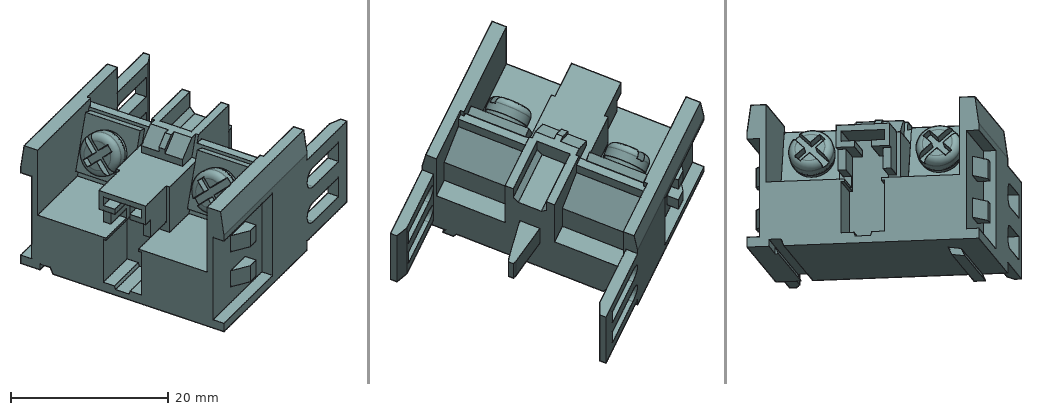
import cadquery as cq
import math

WIDTH = 30.0
DEPTH = 21.0
HEIGHT = 18.5
FLOOR_Z = 8.4
HALF_WIDTH = WIDTH / 2

WALL_INNER_X = 12.5
REAR_WALL_INNER_X = 13.0
WALL_STEP_Y = 13.4
WALL_TAPER = 0.5
WALL_TAPER_Z = 15.0

RECESS_X = 13.4
RECESS_DEPTH_Y = 12.3
RECESS_Z = (1.3, 14.1)
CATCH_Y = (4.4, 6.65, 8.1)
CATCH_HEIGHT = 2.5
SLOT_CENTERS_Z = (5.0, 10.45)

TAB_LENGTH = 10.0
TAB_Z = (1.4, 14.0)
TAB_TIP_THICKNESS = 0.9
TAB_BEVEL_LENGTH = 1.6
SLOT_HEIGHT = 3.0
SLOT_LENGTH = 7.95

LEAN = math.radians(18)
LEAN_FOOT_Y = 10.05
LEAN_TOP_Z = 17.4
LEAN_TOP_REAR_Y = 14.1
SLOPE_END_Y = 18.55
SLOPE_TOP_Z = 15.35
SLOPE_END_Z = 13.3

TOWER_HALF_WIDTH = 3.45
TROUGH_HALF_WIDTH = 2.3
TROUGH_FLOOR_HALF_WIDTH = 1.6
TROUGH_FRONT_Y = 13.5
TROUGH_BEND_Z = 16.15
TROUGH_FLOOR_Z = 15.35

CLIP_HALF_WIDTH = 3.05
CLIP_FRONT_Y = 10.0
CLIP_EDGE_Z = 16.5
CLIP_TOP_Y = 12.33
CLIP_RIB_HALF_WIDTH = 0.45
CLIP_RIB_EDGE_Z = 17.15
CLIP_RIB_TOP_Y = 11.55

BLOCK_TOP_Z = 15.45
BLOCK_HALF_WIDTH = 3.95
BLOCK_FRONT_Y = 5.2
NOSE_BOTTOM_Z = 9.85
NOSE_LIP_Z = 12.55
NOSE_LIP_LENGTH = 1.2
SLOT_END_Y = 6.0
KEY_HALF_WIDTH = 2.8
KEY_NECK_HALF_WIDTH = 1.1
KEY_Z = (13.35, 14.65)
THROAT_HALF_WIDTH = 2.4
THROAT_BOTTOM_Z = 8.05
CHANNEL_FLOOR_Z = 1.4
GROOVE_FLOOR_Z = 0.9
GROOVE_HALF_WIDTHS = (1.0, 1.15)

SPIKE_LENGTH = 6.0
SPIKE_Z = (6.5, 10.5)
SPIKE_ROOT_HALF_WIDTH = 1.4
SPIKE_TIP_HALF_WIDTH = 0.5
SPIKE_TIP_BEVEL = (0.15, 0.4)

FOOT_X = (10.22, 11.73)
FOOT_HEIGHT = 0.9
FOOT_SLANT = 0.42
FOOT_FRONT_Y = 4.55
FOOT_SKEW = math.radians(35)

TERMINAL_X = 8.24
PLATE_SIZE = 8.05
PLATE_THICKNESS = 1.2
PLATE_LIFT = 1.0
SCREW_BASE_RADIUS = 2.75
SCREW_RADIUS = 2.9
SCREW_FLAT_RADIUS = 1.93
SCREW_BASE_HEIGHT = 0.7
SCREW_RIM_HEIGHT = 1.85
SCREW_HEIGHT = SCREW_RIM_HEIGHT + SCREW_RADIUS - SCREW_FLAT_RADIUS
CROSS_WIDTH = 1.05
CROSS_DEPTH = 1.15
CROSS_SHORT_LENGTH = 4.3


def box(x, y, z):
    """Box between two limits on each axis."""
    size = (x[1] - x[0], y[1] - y[0], z[1] - z[0])
    return cq.Workplane("XY").box(*size, centered=False).translate((x[0], y[0], z[0]))


def prism_along_x(points_yz, x):
    """Polygon in Y and Z, extruded between two X limits."""
    return cq.Workplane("YZ").workplane(offset=x[0]).polyline(points_yz).close().extrude(x[1] - x[0])


def prism_along_y(points_xz, y):
    """Polygon in X and Z, extruded between two Y limits."""
    return cq.Workplane("XZ").workplane(offset=-y[0]).polyline(points_xz).close().extrude(y[0] - y[1])


def prism_along_z(points_xy, z):
    """Polygon in X and Y, extruded between two Z limits."""
    return cq.Workplane("XY").workplane(offset=z[0]).polyline(points_xy).close().extrude(z[1] - z[0])


def both_ways(half):
    """Limits that are symmetric about zero."""
    return (-half, half)


def mirrored(shape):
    """The shape together with its mirror image across x = 0."""
    return shape.union(shape.mirror("YZ"))


def around(center, size):
    """Limits of the given size about a centre."""
    return (center - size / 2, center + size / 2)


def lean_y(z):
    """Y of the leaning wall's front face at height z."""
    return LEAN_FOOT_Y + (z - FLOOR_Z) * math.tan(LEAN)


def make_side_wall():
    wall = prism_along_y(
        [
            (WALL_INNER_X, 0),
            (HALF_WIDTH, 0),
            (HALF_WIDTH, WALL_TAPER_Z),
            (HALF_WIDTH - WALL_TAPER, HEIGHT),
            (WALL_INNER_X, HEIGHT),
        ],
        (0, DEPTH),
    )
    thinning = box((WALL_INNER_X, REAR_WALL_INNER_X), (WALL_STEP_Y, DEPTH), (FLOOR_Z, HEIGHT))
    recess = box((RECESS_X, HALF_WIDTH), (0, RECESS_DEPTH_Y), RECESS_Z)
    return wall.cut(thinning).cut(recess)


def make_catch(center_z):
    ramp_foot_y, ramp_top_y, rear_y = CATCH_Y
    outline = [
        (WALL_INNER_X, ramp_foot_y),
        (RECESS_X, ramp_foot_y),
        (HALF_WIDTH, ramp_top_y),
        (HALF_WIDTH, rear_y),
        (WALL_INNER_X, rear_y),
    ]
    return prism_along_z(outline, around(center_z, CATCH_HEIGHT))


def make_tab():
    end_y = DEPTH + TAB_LENGTH
    tab = prism_along_z(
        [
            (RECESS_X, DEPTH),
            (HALF_WIDTH, DEPTH),
            (HALF_WIDTH, end_y),
            (HALF_WIDTH - TAB_TIP_THICKNESS, end_y),
            (RECESS_X, end_y - TAB_BEVEL_LENGTH),
        ],
        TAB_Z,
    )
    radius = SLOT_HEIGHT / 2
    slot_end_y = DEPTH + SLOT_LENGTH
    for center_z in SLOT_CENTERS_Z:
        slot = (
            cq.Workplane("YZ")
            .moveTo(slot_end_y, center_z - radius)
            .lineTo(DEPTH + radius, center_z - radius)
            .threePointArc((DEPTH, center_z), (DEPTH + radius, center_z + radius))
            .lineTo(slot_end_y, center_z + radius)
            .close()
            .extrude(HALF_WIDTH)
        )
        tab = tab.cut(slot)
    return tab


def make_side():
    side = make_side_wall().union(make_tab())
    for center_z in SLOT_CENTERS_Z:
        side = side.union(make_catch(center_z))
    return side


def make_leaning_wall():
    """Wall that carries the terminal plates, with a sloping shoulder behind its top edge."""
    outline = [
        (LEAN_FOOT_Y, FLOOR_Z),
        (lean_y(LEAN_TOP_Z), LEAN_TOP_Z),
        (LEAN_TOP_REAR_Y, LEAN_TOP_Z),
        (LEAN_TOP_REAR_Y, SLOPE_TOP_Z),
        (SLOPE_END_Y, SLOPE_END_Z),
        (SLOPE_END_Y, FLOOR_Z),
    ]
    return prism_along_x(outline, both_ways(REAR_WALL_INNER_X))


def make_tower():
    outline = [
        (LEAN_FOOT_Y, FLOOR_Z),
        (lean_y(HEIGHT), HEIGHT),
        (DEPTH, HEIGHT),
        (DEPTH, FLOOR_Z),
    ]
    return prism_along_x(outline, both_ways(TOWER_HALF_WIDTH))


def make_trough():
    return prism_along_y(
        [
            (-TROUGH_HALF_WIDTH, HEIGHT),
            (-TROUGH_HALF_WIDTH, TROUGH_BEND_Z),
            (-TROUGH_FLOOR_HALF_WIDTH, TROUGH_FLOOR_Z),
            (TROUGH_FLOOR_HALF_WIDTH, TROUGH_FLOOR_Z),
            (TROUGH_HALF_WIDTH, TROUGH_BEND_Z),
            (TROUGH_HALF_WIDTH, HEIGHT),
        ],
        (TROUGH_FRONT_Y, DEPTH),
    )


def make_clip():
    """Wedge in front of the tower with a raised centre rib."""

    def wedge(edge_z, top_y, half_width):
        outline = [
            (CLIP_FRONT_Y, BLOCK_TOP_Z),
            (CLIP_FRONT_Y, edge_z),
            (top_y, HEIGHT),
            (TROUGH_FRONT_Y, HEIGHT),
            (TROUGH_FRONT_Y, BLOCK_TOP_Z),
        ]
        return prism_along_x(outline, both_ways(half_width))

    clip = wedge(CLIP_EDGE_Z, CLIP_TOP_Y, CLIP_HALF_WIDTH)
    return clip.union(wedge(CLIP_RIB_EDGE_Z, CLIP_RIB_TOP_Y, CLIP_RIB_HALF_WIDTH))


def make_center_block():
    rear_outline = [
        (BLOCK_FRONT_Y, FLOOR_Z),
        (BLOCK_FRONT_Y, BLOCK_TOP_Z),
        (lean_y(BLOCK_TOP_Z), BLOCK_TOP_Z),
        (LEAN_FOOT_Y, FLOOR_Z),
    ]
    nose_outline = [
        (0, NOSE_LIP_Z),
        (0, BLOCK_TOP_Z),
        (BLOCK_FRONT_Y, BLOCK_TOP_Z),
        (BLOCK_FRONT_Y, NOSE_BOTTOM_Z),
        (NOSE_LIP_LENGTH, NOSE_BOTTOM_Z),
        (NOSE_LIP_LENGTH, NOSE_LIP_Z),
    ]
    block = prism_along_x(rear_outline, both_ways(BLOCK_HALF_WIDTH))
    return block.union(prism_along_x(nose_outline, both_ways(TOWER_HALF_WIDTH)))


def make_key_slot():
    """T-shaped key slot, the throat and channel below it, and the groove in the channel floor."""
    right_side = [
        (GROOVE_HALF_WIDTHS[0], GROOVE_FLOOR_Z),
        (GROOVE_HALF_WIDTHS[1], CHANNEL_FLOOR_Z),
        (KEY_HALF_WIDTH, CHANNEL_FLOOR_Z),
        (KEY_HALF_WIDTH, THROAT_BOTTOM_Z),
        (THROAT_HALF_WIDTH, THROAT_BOTTOM_Z),
        (THROAT_HALF_WIDTH, NOSE_LIP_Z),
        (KEY_NECK_HALF_WIDTH, NOSE_LIP_Z),
        (KEY_NECK_HALF_WIDTH, KEY_Z[0]),
        (KEY_HALF_WIDTH, KEY_Z[0]),
        (KEY_HALF_WIDTH, KEY_Z[1]),
    ]
    left_side = [(-x, z) for x, z in reversed(right_side)]
    return prism_along_y(right_side + left_side, (0, SLOT_END_Y))


def make_spike():
    tip_y = DEPTH + SPIKE_LENGTH
    bevel_x, bevel_y = SPIKE_TIP_BEVEL
    right_side = [
        (SPIKE_ROOT_HALF_WIDTH, DEPTH),
        (SPIKE_TIP_HALF_WIDTH, tip_y - bevel_y),
        (SPIKE_TIP_HALF_WIDTH - bevel_x, tip_y),
    ]
    left_side = [(-x, y) for x, y in reversed(right_side)]
    return prism_along_z(right_side + left_side, SPIKE_Z)


def slanted_strip(x, bottom_z, y):
    """Strip of the foot's height that leans toward -X going up; x gives its limits at z = 0."""
    top_z = bottom_z + FOOT_HEIGHT
    slant_per_height = FOOT_SLANT / FOOT_HEIGHT
    bottom_shift = -bottom_z * slant_per_height
    top_shift = -top_z * slant_per_height
    outline = [
        (x[0] + bottom_shift, bottom_z),
        (x[1] + bottom_shift, bottom_z),
        (x[1] + top_shift, top_z),
        (x[0] + top_shift, top_z),
    ]
    return prism_along_y(outline, y)


def make_foot():
    """Slanted foot under the right side, its front end turned toward +X."""
    foot = slanted_strip(FOOT_X, -FOOT_HEIGHT, (FOOT_FRONT_Y, DEPTH))
    reach = HALF_WIDTH - FOOT_X[0]
    skew = prism_along_z(
        [
            (FOOT_X[0], FOOT_FRONT_Y),
            (HALF_WIDTH, FOOT_FRONT_Y),
            (HALF_WIDTH, FOOT_FRONT_Y + reach * math.tan(FOOT_SKEW)),
        ],
        (-FOOT_HEIGHT, 0),
    )
    return foot.cut(skew)


def make_notch():
    """Slanted notch through the full depth, squared off on its outer side at the front."""
    outer_x = -FOOT_X[1]
    notch = slanted_strip((outer_x, -FOOT_X[0]), 0, (0, DEPTH))
    lead_in = box((outer_x - FOOT_SLANT, outer_x + FOOT_SLANT), (0, FOOT_FRONT_Y), (0, FOOT_HEIGHT))
    return notch.union(lead_in)


def make_terminal(center_x, cross_angle):
    """Square clamping plate lying on the leaning wall, with its cross-slotted screw head."""
    along_wall = PLATE_LIFT + PLATE_SIZE / 2
    wall_plane = cq.Plane(
        origin=(
            center_x,
            LEAN_FOOT_Y + along_wall * math.sin(LEAN),
            FLOOR_Z + along_wall * math.cos(LEAN),
        ),
        xDir=(1, 0, 0),
        normal=(0, -math.cos(LEAN), math.sin(LEAN)),
    )
    plate = cq.Workplane("XY").rect(PLATE_SIZE, PLATE_SIZE).extrude(PLATE_THICKNESS)

    head = (
        cq.Workplane("XZ")
        .lineTo(SCREW_BASE_RADIUS, 0)
        .lineTo(SCREW_BASE_RADIUS, SCREW_BASE_HEIGHT)
        .lineTo(SCREW_RADIUS, SCREW_BASE_HEIGHT)
        .lineTo(SCREW_RADIUS, SCREW_RIM_HEIGHT)
        .tangentArcPoint((SCREW_FLAT_RADIUS, SCREW_HEIGHT), relative=False)
        .lineTo(0, SCREW_HEIGHT)
        .close()
        .revolve(360, (0, 0, 0), (0, 1, 0))
    )
    cross_floor = cq.Workplane("XY").workplane(offset=SCREW_HEIGHT - CROSS_DEPTH)
    long_slot = cross_floor.rect(2 * SCREW_RADIUS, CROSS_WIDTH).extrude(CROSS_DEPTH)
    short_slot = cross_floor.rect(CROSS_WIDTH, CROSS_SHORT_LENGTH).extrude(CROSS_DEPTH)
    cross = long_slot.union(short_slot).rotate((0, 0, 0), (0, 0, 1), cross_angle)
    head = head.cut(cross).translate((0, 0, PLATE_THICKNESS))

    terminal = plate.union(head).val()
    return cq.Workplane(terminal.located(cq.Location(wall_plane)))


base = box(both_ways(RECESS_X), (0, DEPTH), (0, FLOOR_Z))

result = (
    base.union(mirrored(make_side()))
    .union(make_leaning_wall())
    .union(make_tower())
    .union(make_center_block())
    .union(make_clip())
    .union(make_spike())
    .union(make_foot())
    .union(make_terminal(-TERMINAL_X, -45))
    .union(make_terminal(TERMINAL_X, 45))
    .cut(make_key_slot())
    .cut(make_trough())
    .cut(make_notch())
)